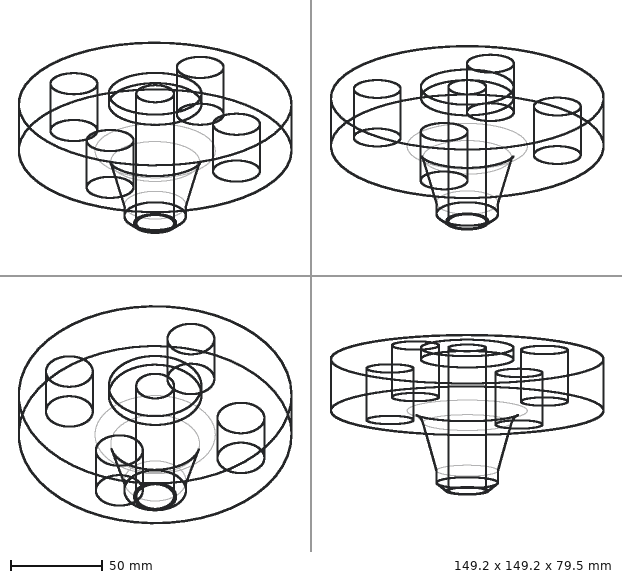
import cadquery as cq
import math

flange_diameter = 149.2
flange_thickness = 28.7
face_diameter = 50.7
face_height = 6.3

bolt_count = 4
bolt_hole_diameter = 25.7
bolt_circle_diameter = 101.6
bore_diameter = 20.7

neck_length = 44.5
neck_end_diameter = 33.7
bevel_height = 4.5
bevel_end_diameter = 23.0
collar_height = 6.7
hub_fillet_radius = 9.0
hub_taper_angle = 15.5

neck_end_z = -neck_length
bevel_top_z = neck_end_z + bevel_height
collar_top_z = bevel_top_z + collar_height
face_top_z = flange_thickness + face_height
total_height = neck_length + face_top_z


def make_body():
    """Revolve the flange, raised face and tapered neck about Z."""
    taper = math.radians(hub_taper_angle)
    neck_end_radius = neck_end_diameter / 2

    tangent_z = -hub_fillet_radius * (1 - math.sin(taper))
    tangent_x = neck_end_radius + (tangent_z - collar_top_z) * math.tan(taper)
    center_x = tangent_x + hub_fillet_radius * math.cos(taper)
    middle_angle = (math.pi / 2 + math.pi - taper) / 2
    middle_x = center_x + hub_fillet_radius * math.cos(middle_angle)
    middle_z = hub_fillet_radius * (math.sin(middle_angle) - 1)

    return (
        cq.Workplane("XZ")
        .moveTo(0, neck_end_z)
        .lineTo(bevel_end_diameter / 2, neck_end_z)
        .lineTo(neck_end_radius, bevel_top_z)
        .lineTo(neck_end_radius, collar_top_z)
        .lineTo(tangent_x, tangent_z)
        .threePointArc((middle_x, middle_z), (center_x, 0))
        .lineTo(flange_diameter / 2, 0)
        .lineTo(flange_diameter / 2, flange_thickness)
        .lineTo(face_diameter / 2, flange_thickness)
        .lineTo(face_diameter / 2, face_top_z)
        .lineTo(0, face_top_z)
        .close()
        .revolve(360, (0, 0, 0), (0, 1, 0))
    )


def make_bore():
    """Straight bore through the whole part."""
    return cq.Workplane("XY", origin=(0, 0, neck_end_z)).circle(bore_diameter / 2).extrude(total_height)


def make_bolt_holes():
    """Through holes equally spaced on the bolt circle, the first on +X."""
    return (
        cq.Workplane("XY")
        .polarArray(bolt_circle_diameter / 2, 0, 360, bolt_count)
        .circle(bolt_hole_diameter / 2)
        .extrude(flange_thickness)
    )


result = make_body().cut(make_bore()).cut(make_bolt_holes())